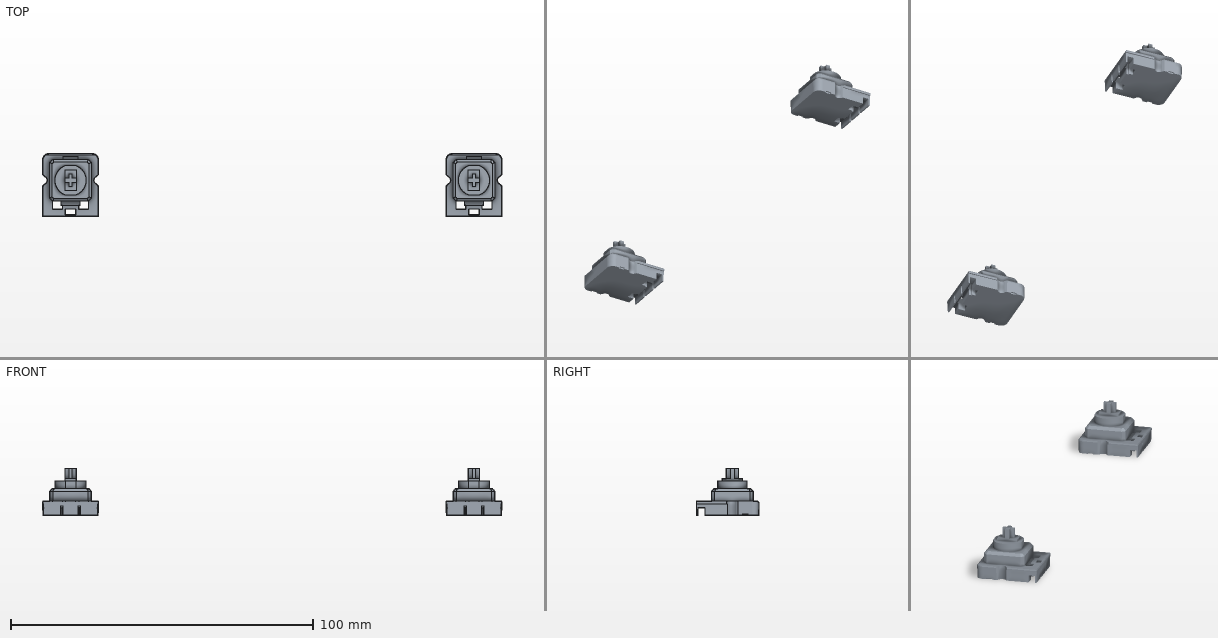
import cadquery as cq
import math

overall_length = 152.0
base_width = 18.5
base_depth = 20.8
switch_pitch = overall_length - base_width
axis_y = 1.5

base_top = 4.7
rim_height = 4.3
wall_draft = 1.8
rim_slope = 15.0
back_chamfer = 0.6
back_corner_radius = 2.3
half_width = base_width / 2
front_y = -base_depth / 2
back_y = base_depth / 2

groove_mouth = 3.8
groove_arc_width = 2.5
groove_flank_depth = 0.8
groove_depth = 1.5
side_relief = 0.38
side_relief_top = 3.8
foot_notch_width = 1.8
foot_notch_height = 0.5
foot_notch_depth = 0.6
foot_notch_y = 5.8

clip_wall = 0.6
channel_front_y = front_y + clip_wall
channel_back_y = -7.6
channel_height = 2.5
clip_slot_width = 0.8
clip_slot_height = 3.0
clip_slot_x = 2.9
window_width = 3.3
opening_front_y = -8.0

opening_outer_x = 6.0
web_half_width = 2.7
tongue_half_width = 3.2
tongue_length = 1.4
tongue_drop = 0.5
back_recess_width = 5.0
back_recess_end_y = 9.4
back_recess_depth = 0.5

box_size = 13.8
box_top = 8.8
box_corner = 1.0
box_bevel_height = 0.9
box_bevel_run = 0.84
box_front_y = axis_y - box_size / 2
box_back_y = axis_y + box_size / 2

collar_radius = 5.2
collar_flat_distance = 4.9
collar_top = 11.4
block_width = 3.8
block_depth = 6.8
block_top = 12.2
stem_top = 15.5
cross_depth = 4.1
x_bar_thickness = 1.4
y_bar_thickness = 1.0


def box_between(x_limits, y_limits, z_limits):
    """Box given by a pair of limits, in either order, along each axis."""
    limits = [sorted(pair) for pair in (x_limits, y_limits, z_limits)]
    size = [high - low for low, high in limits]
    corner = tuple(low for low, high in limits)
    return cq.Workplane("XY").box(*size, centered=False).translate(corner)


def column(width, depth, bottom, top):
    """Upright box centred on the stem axis."""
    x_limits = (-width / 2, width / 2)
    y_limits = (axis_y - depth / 2, axis_y + depth / 2)
    return box_between(x_limits, y_limits, (bottom, top))


def base_blank():
    """Base with drafted walls, round back corners, sloped rim and chamfered back edge."""
    outline = cq.Sketch().rect(base_width, base_depth).vertices(">Y").fillet(back_corner_radius)
    rim = cq.Workplane("XY").workplane(offset=rim_height)
    lower = rim.placeSketch(outline).extrude(-rim_height, taper=wall_draft)
    upper = rim.placeSketch(outline).extrude(base_top - rim_height, taper=rim_slope)
    back_edge = (
        cq.Workplane("YZ")
        .moveTo(back_y - back_chamfer, base_top)
        .lineTo(back_y, base_top - back_chamfer)
        .lineTo(back_y, base_top)
        .close()
        .extrude(half_width, both=True)
    )
    return lower.union(upper).cut(back_edge)


def side_groove(side):
    """Cutter for the vertical groove in one side wall: sloped flanks and a round bottom."""
    wall_x = side * half_width
    flank_x = side * (half_width - groove_flank_depth)
    bottom_x = side * (half_width - groove_depth)
    mouth = groove_mouth / 2
    arc = groove_arc_width / 2
    return (
        cq.Workplane("XY")
        .moveTo(wall_x, axis_y - mouth)
        .lineTo(flank_x, axis_y - arc)
        .threePointArc((bottom_x, axis_y), (flank_x, axis_y + arc))
        .lineTo(wall_x, axis_y + mouth)
        .close()
        .extrude(base_top)
    )


def cut_side_walls(base):
    """Groove, front relief and foot notch in both side walls."""
    notch_limits = (foot_notch_y - foot_notch_width / 2, foot_notch_y + foot_notch_width / 2)
    for side in (-1, 1):
        wall_x = side * half_width
        relief_x = (wall_x, side * (half_width - side_relief))
        notch_x = (wall_x, side * (half_width - foot_notch_depth))
        base = base.cut(side_groove(side))
        base = base.cut(box_between(relief_x, (front_y, axis_y), (0, side_relief_top)))
        base = base.cut(box_between(notch_x, notch_limits, (0, foot_notch_height)))
    return base


def cut_front_clip(base):
    """Channel behind the front wall, two slots through that wall and a window above it."""
    channel_y = (channel_front_y, channel_back_y)
    base = base.cut(box_between((-half_width, half_width), channel_y, (0, channel_height)))
    for side in (-1, 1):
        slot_x = (side * clip_slot_x - clip_slot_width / 2, side * clip_slot_x + clip_slot_width / 2)
        base = base.cut(box_between(slot_x, (front_y, channel_front_y), (0, clip_slot_height)))
    window_x = (-window_width / 2, window_width / 2)
    return base.cut(box_between(window_x, (channel_front_y, opening_front_y), (0, base_top)))


def cut_top_openings(base):
    """Two through openings in front of the box, the lowered tongue between them, and the back recess."""
    tongue_front_y = box_front_y - tongue_length
    full_height = (0, base_top)
    for side in (-1, 1):
        outer_x = side * opening_outer_x
        beside_tongue = (outer_x, side * tongue_half_width)
        beside_web = (outer_x, side * web_half_width)
        base = base.cut(box_between(beside_tongue, (box_front_y, tongue_front_y), full_height))
        base = base.cut(box_between(beside_web, (tongue_front_y, opening_front_y), full_height))
    tongue_x = (-tongue_half_width, tongue_half_width)
    recess_x = (-back_recess_width / 2, back_recess_width / 2)
    above_tongue = (base_top - tongue_drop, base_top)
    in_recess = (base_top - back_recess_depth, base_top)
    base = base.cut(box_between(tongue_x, (box_front_y, tongue_front_y), above_tongue))
    return base.cut(box_between(recess_x, (box_back_y, back_recess_end_y), in_recess))


def upper_box():
    """Square box on the base, with bevelled corners and top edges."""
    bevel_angle = math.degrees(math.atan(box_bevel_run / box_bevel_height))
    outline = cq.Sketch().rect(box_size, box_size).vertices().chamfer(box_corner)
    wall_height = box_top - box_bevel_height - base_top
    walls = cq.Workplane("XY").placeSketch(outline).extrude(wall_height)
    bevel = cq.Workplane("XY").workplane(offset=wall_height).placeSketch(outline)
    box = walls.union(bevel.extrude(box_bevel_height, taper=bevel_angle))
    return box.translate((0, axis_y, base_top))


def make_housing():
    base = cut_top_openings(cut_front_clip(cut_side_walls(base_blank())))
    return base.union(upper_box())


def make_stem():
    """Collar with two flats on the box top, carrying a block and a keycap cross."""
    disc = cq.Workplane("XY").circle(collar_radius).extrude(collar_top - box_top)
    disc = disc.translate((0, axis_y, box_top))
    collar = disc.intersect(column(2 * collar_radius, 2 * collar_flat_distance, box_top, collar_top))
    carrier = column(block_width, block_depth, collar_top, block_top)
    x_bar = column(block_width, x_bar_thickness, block_top, stem_top)
    y_bar = column(y_bar_thickness, cross_depth, block_top, stem_top)
    return collar.union(carrier).union(x_bar).union(y_bar)


housing = make_housing()
stem = make_stem()

bodies = []
for switch_x in (-switch_pitch / 2, switch_pitch / 2):
    for body in (housing, stem):
        bodies.append(body.translate((switch_x, 0, 0)).val())

result = cq.Compound.makeCompound(bodies)